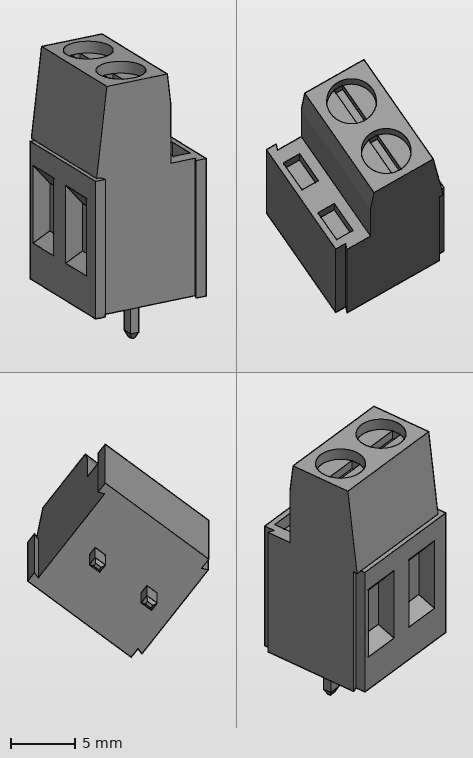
import cadquery as cq

pitch = 5.08
poles = 2
housing_width = poles * pitch
pole_centers = [pitch * (i + 0.5) for i in range(poles)]

depth = 10.0
base_z = 3.49
shoulder_z = 14.98
total_height = 22.5
hook_width = 0.5
hook_front_root = 0.72
hook_front_tip = 0.88
hook_back_root = 9.27
hook_back_tip = 9.07

tower_foot_front = 0.38
tower_top_front = 1.3
tower_top_back = 6.77
tower_foot_back = 7.09
tower_kink_z = 19.91

screw_diameter = 3.9
screw_y = 4.05
screw_recess_depth = 1.0
slot_width = 0.8
slot_depth = 0.76

entry_width = 3.22
entry_bottom = 6.62
entry_top = 13.12
entry_inner_width = 2.8
entry_inner_bottom = 7.45
entry_inner_top = 11.43
entry_depth = 1.4

pocket_start = 1.15
pocket_width = 2.75
pocket_front = 7.99
pocket_length = 1.5
pocket_depth = 1.12

pin_width = 1.01
pin_thickness = 0.75
pin_tip_width = 0.55
pin_tip_thickness = 0.27
pin_tip_height = 0.52


def hooked_side(x):
    """Side outline from front to back, with its body side starting at x."""
    return [
        (x + hook_width, 0),
        (x + hook_width, hook_front_tip),
        (x, hook_front_root),
        (x, hook_back_root),
        (x + hook_width, hook_back_tip),
        (x + hook_width, depth),
    ]


def make_base():
    outline = hooked_side(0) + hooked_side(housing_width)[::-1]
    return (
        cq.Workplane("XY", origin=(0, 0, base_z))
        .polyline(outline)
        .close()
        .extrude(shoulder_z - base_z)
    )


def make_tower():
    return (
        cq.Workplane("YZ")
        .polyline([
            (tower_foot_front, shoulder_z),
            (tower_top_front, total_height),
            (tower_top_back, total_height),
            (tower_foot_back, tower_kink_z),
            (tower_foot_back, shoulder_z),
        ])
        .close()
        .extrude(housing_width)
    )


def make_screw_recess(x):
    floor_z = total_height - screw_recess_depth
    recess = (
        cq.Workplane("XY", origin=(x, screw_y, floor_z))
        .circle(screw_diameter / 2)
        .extrude(screw_recess_depth)
    )
    slot = (
        cq.Workplane("XY", origin=(x, screw_y, floor_z - slot_depth))
        .rect(screw_diameter, slot_width)
        .extrude(slot_depth)
    )
    return recess.union(slot)


def make_wire_entry(x):
    outer_z = (entry_bottom + entry_top) / 2
    inner_z = (entry_inner_bottom + entry_inner_top) / 2
    return (
        cq.Workplane("XZ", origin=(x, 0, outer_z))
        .rect(entry_width, entry_top - entry_bottom)
        .workplane(offset=-entry_depth)
        .center(0, inner_z - outer_z)
        .rect(entry_inner_width, entry_inner_top - entry_inner_bottom)
        .loft()
    )


def make_rear_pocket(pole_start):
    corner = (pole_start + pocket_start, pocket_front, shoulder_z - pocket_depth)
    return (
        cq.Workplane("XY", origin=corner)
        .rect(pocket_width, pocket_length, centered=False)
        .extrude(pocket_depth)
    )


def make_pin(x):
    shank = (
        cq.Workplane("XY", origin=(x, depth / 2, pin_tip_height))
        .rect(pin_width, pin_thickness)
        .extrude(base_z - pin_tip_height)
    )
    tip = (
        cq.Workplane("XY", origin=(x, depth / 2, 0))
        .rect(pin_tip_width, pin_tip_thickness)
        .workplane(offset=pin_tip_height)
        .rect(pin_width, pin_thickness)
        .loft()
    )
    return shank.union(tip)


result = make_base().union(make_tower())
for center_x in pole_centers:
    result = result.cut(make_screw_recess(center_x))
    result = result.cut(make_wire_entry(center_x))
    result = result.cut(make_rear_pocket(center_x - pitch / 2))
    result = result.union(make_pin(center_x))